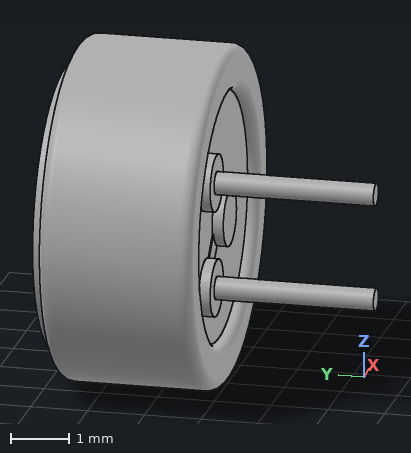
import cadquery as cq
import math

can_diameter = 6.0
can_length = 2.7
edge_radius = 0.2

back_disc_diameter = 5.0
back_disc_height = 0.2

recess_diameter = 4.4
recess_depth = 0.2

pad_diameter = 1.0
track_width = 0.4
track_height = 0.02
track_angle = 45.0

pin_diameter = 0.4
pin_reach = 2.8
pin_x = -1.0
pin_z = 0.95


def cylinder(diameter, start_y, end_y, x=0, z=0):
    """Cylinder along Y between two Y positions."""
    axis = cq.Vector(0, 1, 0)
    base = cq.Vector(x, start_y, z)
    return cq.Workplane(cq.Solid.makeCylinder(diameter / 2, end_y - start_y, base, axis))


def make_can():
    body = cylinder(can_diameter, 0, can_length).edges().fillet(edge_radius)
    disc_end = can_length + back_disc_height
    back_disc = cylinder(back_disc_diameter, can_length - edge_radius, disc_end)
    return body.union(back_disc)


def make_recess():
    """Recess cutter: the wall flares out in a convex quarter round from floor to mouth."""
    radius = recess_diameter / 2
    arc_offset = recess_depth * (1 - math.sqrt(0.5))
    return (
        cq.Workplane("XY")
        .lineTo(radius + recess_depth, 0)
        .threePointArc((radius + arc_offset, arc_offset), (radius, recess_depth))
        .lineTo(0, recess_depth)
        .close()
        .revolve(360, (0, 0, 0), (0, 1, 0))
    )


def make_track():
    """Straight track from the centre pad to the lower pin pad."""
    length = math.hypot(pin_x, pin_z)
    return (
        cq.Workplane("XY")
        .box(length, track_height, track_width)
        .rotate((0, 0, 0), (0, 1, 0), -track_angle)
        .translate((pin_x / 2, recess_depth - track_height / 2, -pin_z / 2))
    )


result = make_can().cut(make_recess()).union(make_track())
result = result.union(cylinder(pad_diameter, 0, recess_depth))
for z in (pin_z, -pin_z):
    result = result.union(cylinder(pad_diameter, 0, recess_depth, pin_x, z))
    result = result.union(cylinder(pin_diameter, -pin_reach, recess_depth, pin_x, z))